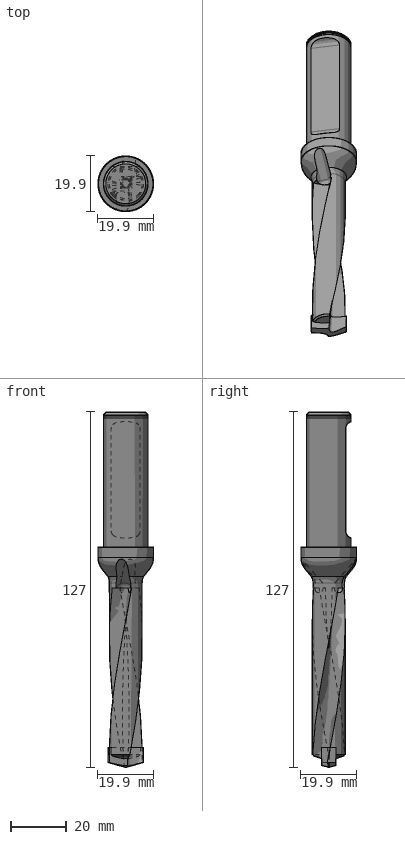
import cadquery as cq
import math

TOTAL_LENGTH = 127.0

SHANK_RADIUS = 8.0
SHANK_CHAMFER_WIDTH = 0.9
SHANK_CHAMFER_HEIGHT = 1.0
GROOVE_BOTTOM_Z = 125.0
GROOVE_HEIGHT = 0.6
GROOVE_DEPTH = 0.1

FLAT_Y = 6.1
FLAT_START_Z = 81.9
FLAT_END_Z = 123.7
FLAT_END_RADIUS = 2.7

FLANGE_RADIUS = 9.97
FLANGE_TOP_Z = 78.9
FLANGE_BOTTOM_Z = 75.0
FLANGE_CHAMFER = 0.3
FLANGE_STEP = 0.1
CONE_POINTS = [(7.9, 70.1), (9.1, 71.9)]
CONE_BOTTOM = (6.4, 68.2)
NECK_ARC_MIDDLE = (6.03, 67.2)
NECK_BOTTOM_Z = 65.9

BODY_RADIUS = 5.9
BODY_BOTTOM_Z = 4.7
BODY_EDGE_CHAMFER = 0.6

INSERT_RADIUS = 6.4
INSERT_THICKNESS = 5.1
INSERT_TOP_Z = 7.2
POINT_RISE = 1.8

FLUTE_COUNT = 2
FLUTE_ANGLE = 76.0
FLUTE_START_ANGLE = 134.0
FLUTE_TWIST_RATE = 1.858
FLUTE_BOTTOM_Z = -1.3
FLUTE_TOP_Z = 64.1
FLUTE_DEEPEST = (1.1, 0.5)
FLUTE_REACH = 8.9
FLOOR_REACH_ANGLE = -5.0

RUNOUT_RADIUS = 2.7
RUNOUT_TILT = 42.0
RUNOUT_START_RADIUS = 4.2
RUNOUT_ANGLE = 261.0
RUNOUT_LENGTH = 15.2


def polar(radius, angle):
    """Point in the XY plane at a radius and an angle in degrees."""
    turn = math.radians(angle)
    return (radius * math.cos(turn), radius * math.sin(turn))


def make_blank():
    """Turned shape of the holder before the flat and flutes are cut."""
    body_end_z = BODY_BOTTOM_Z - BODY_EDGE_CHAMFER
    groove_top_z = GROOVE_BOTTOM_Z + GROOVE_HEIGHT
    outline = (
        cq.Workplane("XZ")
        .moveTo(0, body_end_z - POINT_RISE)
        .lineTo(BODY_RADIUS - BODY_EDGE_CHAMFER, body_end_z)
        .lineTo(BODY_RADIUS, BODY_BOTTOM_Z)
        .lineTo(BODY_RADIUS, NECK_BOTTOM_Z)
        .threePointArc(NECK_ARC_MIDDLE, CONE_BOTTOM)
        .spline(
            CONE_POINTS + [(FLANGE_RADIUS - FLANGE_STEP, FLANGE_BOTTOM_Z)],
            includeCurrent=True,
        )
        .lineTo(FLANGE_RADIUS, FLANGE_BOTTOM_Z)
        .lineTo(FLANGE_RADIUS, FLANGE_TOP_Z - FLANGE_CHAMFER)
        .lineTo(FLANGE_RADIUS - FLANGE_CHAMFER, FLANGE_TOP_Z)
        .lineTo(SHANK_RADIUS, FLANGE_TOP_Z)
        .lineTo(SHANK_RADIUS, GROOVE_BOTTOM_Z)
        .lineTo(SHANK_RADIUS - GROOVE_DEPTH, GROOVE_BOTTOM_Z)
        .lineTo(SHANK_RADIUS - GROOVE_DEPTH, groove_top_z)
        .lineTo(SHANK_RADIUS, groove_top_z)
        .lineTo(SHANK_RADIUS, TOTAL_LENGTH - SHANK_CHAMFER_HEIGHT)
        .lineTo(SHANK_RADIUS - SHANK_CHAMFER_WIDTH, TOTAL_LENGTH)
        .lineTo(0, TOTAL_LENGTH)
        .close()
    )
    return outline.revolve(360, (0, 0, 0), (0, 1, 0))


def make_flat_cutter():
    """Block that cuts the clamping flat, with rounded ends."""
    return (
        cq.Workplane("XY")
        .box(
            2 * SHANK_RADIUS, SHANK_RADIUS, FLAT_END_Z - FLAT_START_Z,
            centered=(True, False, False),
        )
        .translate((0, FLAT_Y, FLAT_START_Z))
        .edges("<Y and |X")
        .fillet(FLAT_END_RADIUS)
    )


def make_flute_cutter():
    """Twisted cutter with a smooth hooked section, facing +X at Z = 0."""
    height = FLUTE_TOP_Z - FLUTE_BOTTOM_Z
    half_angle = FLUTE_ANGLE / 2
    wall_end = polar(FLUTE_REACH, half_angle)
    floor_end = polar(FLUTE_REACH, FLOOR_REACH_ANGLE - half_angle)
    return (
        cq.Workplane("XY")
        .moveTo(*floor_end)
        .spline(
            [polar(BODY_RADIUS, -half_angle), FLUTE_DEEPEST, polar(BODY_RADIUS, half_angle), wall_end],
            includeCurrent=True,
        )
        .close()
        .twistExtrude(height, FLUTE_TWIST_RATE * height)
        .rotate((0, 0, 0), (0, 0, 1), FLUTE_TWIST_RATE * FLUTE_BOTTOM_Z)
        .translate((0, 0, FLUTE_BOTTOM_Z))
    )


def make_runout_cutter():
    """Round-nosed cylinder leaning outward from the top of a flute facing +X."""
    cutter = cq.Workplane("XY").circle(RUNOUT_RADIUS).extrude(RUNOUT_LENGTH)
    cutter = cutter.union(cq.Workplane("XY").sphere(RUNOUT_RADIUS))
    return (
        cutter.rotate((0, 0, 0), (0, 1, 0), RUNOUT_TILT)
        .translate((RUNOUT_START_RADIUS, 0, FLUTE_TOP_Z))
    )


def cut_flutes(body, cutter, first_angle):
    """Cut the same groove into a body at every flute position."""
    for index in range(FLUTE_COUNT):
        angle = first_angle + index * 360 / FLUTE_COUNT
        body = body.cut(cutter.rotate((0, 0, 0), (0, 0, 1), angle))
    return body


def make_blade_block():
    """Flat block that fills the insert slot."""
    return cq.Workplane("XY").box(
        2 * INSERT_RADIUS, INSERT_THICKNESS, INSERT_TOP_Z, centered=(True, True, False)
    )


def make_insert_blank():
    """Flat blade with round outer ends and a conical point, before fluting."""
    turned = (
        cq.Workplane("XZ")
        .polyline([
            (0, 0),
            (INSERT_RADIUS, POINT_RISE),
            (INSERT_RADIUS, INSERT_TOP_Z),
            (0, INSERT_TOP_Z),
        ])
        .close()
        .revolve(360, (0, 0, 0), (0, 1, 0))
    )
    return turned.intersect(make_blade_block())


def make_insert(insert_blank, flute_cutter):
    return cut_flutes(insert_blank, flute_cutter, FLUTE_START_ANGLE)


def make_holder(flute_cutter):
    """Shank, flange and fluted body, with a slot through it for the insert."""
    holder = make_blank().cut(make_flat_cutter()).cut(make_blade_block())
    holder = cut_flutes(holder, flute_cutter, FLUTE_START_ANGLE)
    return cut_flutes(holder, make_runout_cutter(), RUNOUT_ANGLE)


flute_cutter = make_flute_cutter()
insert = make_insert(make_insert_blank(), flute_cutter)
holder = make_holder(flute_cutter)

result = cq.Compound.makeCompound([holder.solids().val(), insert.solids().val()])